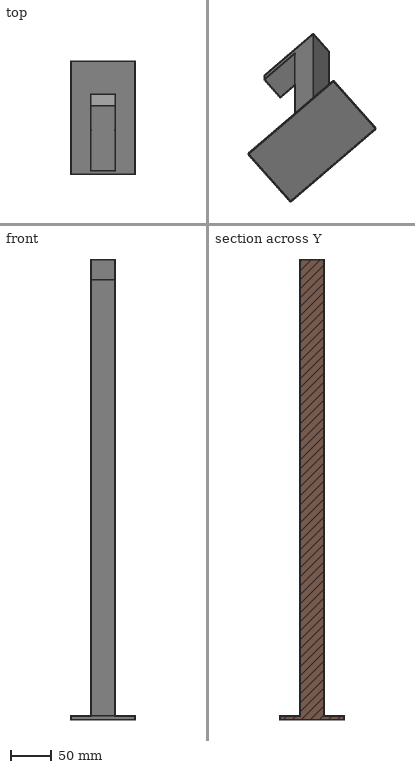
import cadquery as cq

plate_width = 80.0
plate_depth = 140.0
plate_thickness = 5.0

total_height = 570.0
post_size = 30.0
arm_reach = 50.0
arm_height = 25.0

wedge_reach = 14.0
wedge_height = 14.0

plate = cq.Workplane("XY").box(
    plate_width, plate_depth, plate_thickness, centered=(True, True, False)
)

rear = post_size / 2
front = -post_size / 2
arm_tip = front - arm_reach
arm_bottom = total_height - arm_height
wedge_tip = rear + wedge_reach
profile = [
    (front, plate_thickness),
    (wedge_tip, plate_thickness),
    (rear, plate_thickness + wedge_height),
    (rear, total_height),
    (arm_tip, total_height),
    (arm_tip, arm_bottom),
    (front, arm_bottom),
]
post = cq.Workplane("YZ").polyline(profile).close().extrude(post_size / 2, both=True)

result = plate.union(post)